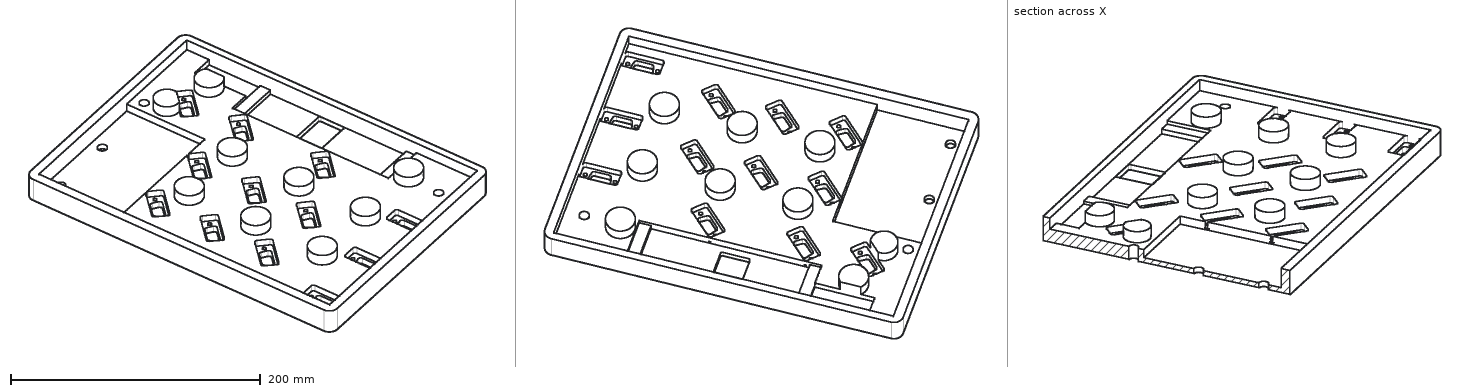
import cadquery as cq

LENGTH = 300
WIDTH = 220.0
HEIGHT = 22.0
CORNER_RADIUS = 7.8
WALL_X = 7.8
WALL_FRONT = 8.0
WALL_BACK = 6.3
FLOOR_THICKNESS = 12

CAVITY_RIGHT = LENGTH / 2 - WALL_X
CAVITY_LEFT = -CAVITY_RIGHT
CAVITY_FRONT = -WIDTH / 2 + WALL_FRONT
CAVITY_BACK = WIDTH / 2 - WALL_BACK

POST_DIAMETER = 24
SMALL_POST_DIAMETER = 22.2
POST_HEIGHT = 10.0
POST_PITCH_X = 65.0
POST_PITCH_Y = 60
POST_FIRST_X = -100.2
POST_FIRST_Y = -45
SMALL_POST_CENTRE = (-113.5, 35.0)

CORNER_POCKET_RIGHT = -65.7
CORNER_POCKET_BACK = 20.0
CORNER_POCKET_DEPTH = 7.2

RECESS_LEFT = -70.2
RECESS_RIGHT = 82.5
RECESS_FRONT = 64.8
RECESS_STEP_WIDTH = 10.0
RECESS_STEP_DEPTH = 3
RECESS_DEPTH = 7.2
SIDE_POCKET_LEFT = -120.3
SIDE_POCKET_FRONT = 83.5
SIDE_POCKET_DEPTH = 5.5
WINDOW_WIDTH = 24.5
WINDOW_FRONT = 70.5
WINDOW_LEDGE = 0.15
WINDOW_CORNER_RADIUS = 1.5

SEAT_LENGTH = 32.5
SEAT_WIDTH = 14.7
SEAT_CORNER_RADIUS = 2.0
SEAT_DEPTH = 6
OPENING_LONG_SIDE = 19.5
OPENING_SHORT_SIDE = 15.5
OPENING_WIDTH = 10.2
OPENING_CORNER_RADIUS = 2.5
SCREW_SPACING = 25.0
SCREW_DIAMETER = 3

ROW_PITCH = 58.0
WALL_ROW_FRONT = -86.5
WALL_SEAT_X = CAVITY_RIGHT - SEAT_LENGTH / 2
DIAGONAL_ANGLE = -45
DIAGONAL_ROW_FRONT = -67.5
DIAGONAL_PITCH_X = 53.5
DIAGONAL_FIRST_X = -50.0

CABLE_HOLE_DIAMETER = 8.0
CABLE_HOLE_X = -131.7
BACK_HOLE_CENTRE = (126, 73.0)


def box_between(left, right, front, back, bottom, top=HEIGHT):
    """Box given by its six faces."""
    return cq.Workplane("XY").box(right - left, back - front, top - bottom, centered=False).translate(
        (left, front, bottom)
    )


def floor_pocket(left, right, front, back, depth):
    """Cutter for a rectangular pocket sunk into the floor and clear up to the rim."""
    return box_between(left, right, front, back, FLOOR_THICKNESS - depth)


def make_tray():
    block = cq.Workplane("XY").box(LENGTH, WIDTH, HEIGHT, centered=(True, True, False))
    block = block.edges("|Z").fillet(CORNER_RADIUS)
    return block.cut(floor_pocket(CAVITY_LEFT, CAVITY_RIGHT, CAVITY_FRONT, CAVITY_BACK, depth=0))


def make_posts():
    columns = [POST_FIRST_X + i * POST_PITCH_X for i in range(4)]
    rows = [POST_FIRST_Y + i * POST_PITCH_Y for i in range(3)]
    centres = [(x, y) for x in columns[1:] for y in rows[:2]]
    centres += [(columns[0], rows[2]), (columns[3], rows[2])]
    floor = cq.Workplane("XY").workplane(offset=FLOOR_THICKNESS)
    posts = floor.pushPoints(centres).circle(POST_DIAMETER / 2).extrude(POST_HEIGHT)
    small_post = floor.center(*SMALL_POST_CENTRE).circle(SMALL_POST_DIAMETER / 2).extrude(POST_HEIGHT)
    return posts.union(small_post)


def make_back_recess():
    step = floor_pocket(RECESS_LEFT, RECESS_RIGHT, RECESS_FRONT, CAVITY_BACK, RECESS_STEP_DEPTH)
    deep = floor_pocket(
        RECESS_LEFT + RECESS_STEP_WIDTH,
        RECESS_RIGHT - RECESS_STEP_WIDTH,
        RECESS_FRONT,
        CAVITY_BACK,
        RECESS_DEPTH,
    )
    side = floor_pocket(SIDE_POCKET_LEFT, RECESS_LEFT, SIDE_POCKET_FRONT, CAVITY_BACK, SIDE_POCKET_DEPTH)
    window = box_between(-WINDOW_WIDTH / 2, WINDOW_WIDTH / 2, WINDOW_FRONT, CAVITY_BACK - WINDOW_LEDGE, 0)
    window = window.edges("|Z").fillet(WINDOW_CORNER_RADIUS)
    return step.union(deep).union(side).union(window)


def make_seat():
    """Cutter for one connector seat, long along X and centred on the Z axis."""
    seat = floor_pocket(-SEAT_LENGTH / 2, SEAT_LENGTH / 2, -SEAT_WIDTH / 2, SEAT_WIDTH / 2, SEAT_DEPTH)
    seat = seat.edges("|Z").fillet(SEAT_CORNER_RADIUS)
    opening = (
        cq.Workplane("XY")
        .moveTo(-OPENING_LONG_SIDE / 2, OPENING_WIDTH / 2)
        .lineTo(OPENING_LONG_SIDE / 2, OPENING_WIDTH / 2)
        .lineTo(OPENING_SHORT_SIDE / 2, -OPENING_WIDTH / 2)
        .lineTo(-OPENING_SHORT_SIDE / 2, -OPENING_WIDTH / 2)
        .close()
        .extrude(HEIGHT)
        .edges("|Z")
        .fillet(OPENING_CORNER_RADIUS)
    )
    screw_centres = [(-SCREW_SPACING / 2, 0), (SCREW_SPACING / 2, 0)]
    screws = cq.Workplane("XY").pushPoints(screw_centres).circle(SCREW_DIAMETER / 2).extrude(HEIGHT)
    return seat.union(opening).union(screws)


wall_rows = [WALL_ROW_FRONT + i * ROW_PITCH for i in range(3)]
diagonal_rows = [DIAGONAL_ROW_FRONT + i * ROW_PITCH for i in range(3)]
diagonal_columns = [DIAGONAL_FIRST_X + i * DIAGONAL_PITCH_X for i in range(-1, 3)]

diagonal_centres = [(x, y) for y in diagonal_rows[:2] for x in diagonal_columns[1:]]
back_row_columns = diagonal_columns[:2] + [(diagonal_columns[2] + diagonal_columns[3]) / 2]
diagonal_centres += [(x, diagonal_rows[2]) for x in back_row_columns]

result = make_tray().union(make_posts())
result = result.cut(
    floor_pocket(CAVITY_LEFT, CORNER_POCKET_RIGHT, CAVITY_FRONT, CORNER_POCKET_BACK, CORNER_POCKET_DEPTH)
)
result = result.cut(make_back_recess())

seat_cutter = make_seat()
for y in wall_rows:
    result = result.cut(seat_cutter.translate((WALL_SEAT_X, y, 0)))
diagonal_cutter = seat_cutter.rotate((0, 0, 0), (0, 0, 1), DIAGONAL_ANGLE)
for x, y in diagonal_centres:
    result = result.cut(diagonal_cutter.translate((x, y, 0)))

hole_centres = [(CABLE_HOLE_X, y) for y in wall_rows] + [BACK_HOLE_CENTRE]
result = result.cut(
    cq.Workplane("XY").pushPoints(hole_centres).circle(CABLE_HOLE_DIAMETER / 2).extrude(HEIGHT)
)